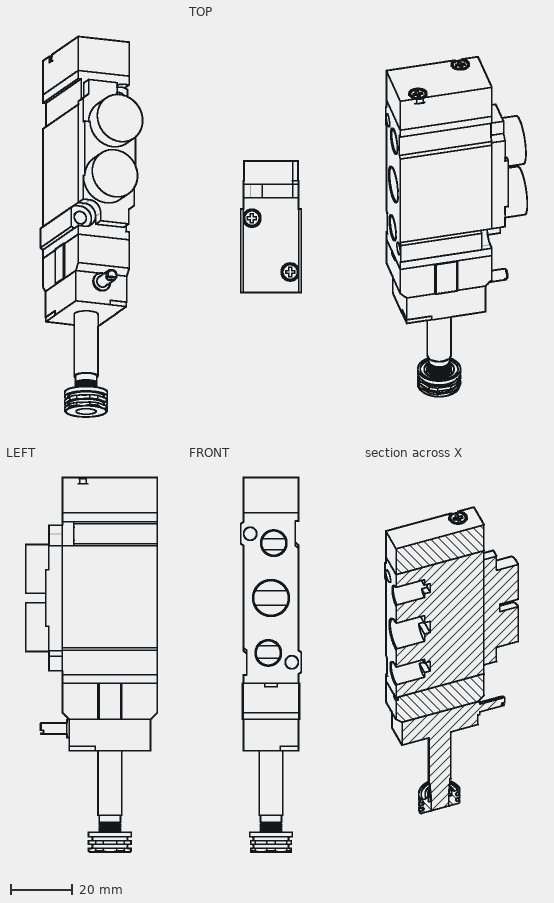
import cadquery as cq
import math


WIDTH = 18.0
HALF_WIDTH = WIDTH / 2
DEPTH = 31.0
BODY_HALF_LENGTH = 27.85
OVERALL_WIDTH = 19.8
OVERALL_HEIGHT = 122.5

MOUNT_X = 6.8
MOUNT_Z = 21.0
MOUNT_HOLE_DIAMETER = 4.2
MOUNT_RECESS_DIAMETER = 7.8
MOUNT_RECESS_DEPTH = 3.7

BUMP_BASE_HALF = 3.9
BUMP_TOP_HALF = 3.3
NOTCH_DEPTH = 1.05
NOTCH_OUTER_END = 25.1
NOTCH_INNER_END = 17.05
NOTCH_RUNOUT = 0.75

CENTER_PORT_DIAMETER = 11.4
SIDE_PORT_DIAMETER = 8.0
PORT_CHAMFER = 0.3
PORT_DEPTH = 10.0
PORT_SLOT_DEPTH = 2.0
SIDE_PORT_X = 0.9
SIDE_PORT_Z = 17.95
CENTER_SLOT_HEIGHT = 4.85
UPPER_SLOT_HEIGHT = 3.7
LOWER_SLOT_HEIGHT = 4.1
UPPER_SLOT_DROP = 0.4
LOWER_SLOT_RISE = 0.25

CAP_HEIGHT = 11.6
CAP_TOP = BODY_HALF_LENGTH + CAP_HEIGHT
SCREW_RECESS_DIAMETER = 5.9
SCREW_RECESS_DEPTH = 2.1
SCREW_HEAD_DIAMETER = 5.4
SCREW_HEAD_HEIGHT = 2.0
SCREW_HEAD_CHAMFER = 0.3
SCREW_X = 6.25
SCREW_FROM_MIDDLE = 8.8
CROSS_LENGTH = 3.0
CROSS_WIDTH = 0.9
CROSS_DEPTH = 1.2

PLATE_THICKNESS = 4.4
PLATE_BACK = DEPTH + PLATE_THICKNESS
PLATE_HALF_LENGTH = 23.8
PLATE_SHOULDER_X = 7.1
PLATE_SHOULDER_START = 18.95
PLATE_SHOULDER_END = 17.3
PAD_THICKNESS = 1.1
PAD_HALF_LENGTH = 9.2
FITTING_DIAMETER = 16.0
FITTING_X = 0.9
FITTING_Z = 9.5
FITTING_END = 43.0

PILOT_HEIGHT = 11.8
PILOT_TOP = -BODY_HALF_LENGTH
PILOT_BOTTOM = PILOT_TOP - PILOT_HEIGHT
PILOT_CHAMFER = 2.15
RIB_HEIGHT = 0.4
RIB_BASE_WIDTH = 7.8
RIB_TOP_WIDTH = 7.0
TAB_RECESS_WIDTH = 4.0
TAB_RECESS_HEIGHT = 1.1
TAB_RECESS_DEPTH = 0.8

BASE_HEIGHT = 10.3
BASE_BOTTOM = PILOT_BOTTOM - BASE_HEIGHT
BASE_FRONT = PILOT_CHAMFER
BASE_BACK = DEPTH - PILOT_CHAMFER
CORNER_PANEL_WIDTH = 5.9
CORNER_PANEL_LENGTH = 8.5
CORNER_PANEL_HEIGHT = 1.5
CORNER_PANEL_DEPTH = 0.1
STEM_Y = DEPTH / 2
TUBE_DIAMETER = 7.8
TUBE_BOTTOM = -71.0
NECK_DIAMETER = 7.0
NECK_BOTTOM = -73.3
THREAD_PITCH = 0.75
THREAD_CORE_DIAMETER = 6.5
PIN_DIAMETER = 3.7
PIN_Z = -42.65
PIN_END = 38.3
PIN_CHAMFER = 0.4
PIN_COLLAR_DIAMETER = 5.9
PIN_COLLAR_THICKNESS = 0.7
PIN_SLOT_WIDTH = 1.0
PIN_SLOT_DEPTH = 1.1
PIN_SLOT_DROP = 1.1

NUT_TOP = -76.5
NUT_BOTTOM = CAP_TOP - OVERALL_HEIGHT
NUT_DIAMETER = 14.0
NUT_GROOVE_DIAMETER = 11.4
NUT_GROOVE_HEIGHT = 1.25
NUT_GROOVE_ROUNDING = 0.3
NUT_TOP_FLANGE_HEIGHT = 1.55
NUT_COUNTERBORE_DIAMETER = 8.0
NUT_COUNTERBORE_DEPTH = 2.0
NUT_FACE_GROOVE_INNER_DIAMETER = 9.8
NUT_FACE_GROOVE_OUTER_DIAMETER = 12.4
NUT_FACE_GROOVE_DEPTH = 0.3
NUT_BOTTOM_CHAMFER = 0.4
NUT_FLAT_COUNT = 6
NUT_FLAT_RADIUS = 6.65


def block(x_range, y_range, z_range):
    """Rectangular block between the given limits."""
    sizes = [high - low for low, high in (x_range, y_range, z_range)]
    corner = (x_range[0], y_range[0], z_range[0])
    return cq.Workplane("XY").box(*sizes, centered=False).translate(corner)


def y_cylinder(diameter, x, z, y_start, y_end):
    """Cylinder along +Y."""
    plane = cq.Plane(origin=(x, y_start, z), xDir=(1, 0, 0), normal=(0, 1, 0))
    return cq.Workplane(plane).circle(diameter / 2).extrude(y_end - y_start)


def y_prism(points, y_start, y_end):
    """Prism along +Y over an outline of (x, z) points."""
    outline = cq.Workplane("XZ", origin=(0, y_start, 0)).polyline(points).close()
    return outline.extrude(y_start - y_end)


def half_turn(shape):
    """The same shape turned by 180 degrees about the central port axis."""
    return shape.rotate((0, 0, 0), (0, 1, 0), 180)


def both_ends(shape):
    """The shape together with its half-turn copy."""
    return shape.union(half_turn(shape))


def side_bump():
    outer_x = OVERALL_WIDTH / 2
    points = [
        (0, MOUNT_Z + BUMP_BASE_HALF),
        (-HALF_WIDTH, MOUNT_Z + BUMP_BASE_HALF),
        (-outer_x, MOUNT_Z + BUMP_TOP_HALF),
        (-outer_x, MOUNT_Z - BUMP_TOP_HALF),
        (-HALF_WIDTH, MOUNT_Z - BUMP_BASE_HALF),
        (0, MOUNT_Z - BUMP_BASE_HALF),
    ]
    return y_prism(points, 0, DEPTH - MOUNT_RECESS_DEPTH)


def side_notch():
    floor_x = HALF_WIDTH - NOTCH_DEPTH
    points = [
        (HALF_WIDTH, NOTCH_OUTER_END),
        (floor_x, NOTCH_OUTER_END),
        (floor_x, NOTCH_INNER_END),
        (HALF_WIDTH, NOTCH_INNER_END - NOTCH_RUNOUT),
    ]
    return y_prism(points, 0, DEPTH)


def mount_recess(y_start, y_end):
    """Round recess about a mounting hole, open to the near side face."""
    radius = MOUNT_RECESS_DIAMETER / 2
    round_part = y_cylinder(MOUNT_RECESS_DIAMETER, -MOUNT_X, MOUNT_Z, y_start, y_end)
    side_opening = block(
        (-OVERALL_WIDTH, -MOUNT_X), (y_start, y_end), (MOUNT_Z - radius, MOUNT_Z + radius)
    )
    return round_part.union(side_opening)


def port(diameter, x, z, slot_height, slot_z):
    """Chamfered blind port with a slot across its floor."""
    bore = y_cylinder(diameter, x, z, 0, PORT_DEPTH)
    mouth_plane = cq.Plane(origin=(x, 0, z), xDir=(1, 0, 0), normal=(0, 1, 0))
    mouth_radius = diameter / 2 + PORT_CHAMFER
    mouth = cq.Workplane(mouth_plane).circle(mouth_radius).extrude(PORT_CHAMFER, taper=45)
    slot_end = PORT_DEPTH + PORT_SLOT_DEPTH
    band = block(
        (-HALF_WIDTH, HALF_WIDTH),
        (PORT_DEPTH, slot_end),
        (slot_z - slot_height / 2, slot_z + slot_height / 2),
    )
    slot = y_cylinder(diameter, x, z, PORT_DEPTH, slot_end).intersect(band)
    return bore.union(mouth).union(slot)


def make_valve_body():
    body = block(
        (-HALF_WIDTH, HALF_WIDTH), (0, DEPTH), (-BODY_HALF_LENGTH, BODY_HALF_LENGTH)
    )
    body = body.union(both_ends(side_bump()))
    body = body.cut(both_ends(side_notch()))
    mount_hole = y_cylinder(MOUNT_HOLE_DIAMETER, -MOUNT_X, MOUNT_Z, 0, DEPTH)
    body = body.cut(both_ends(mount_hole))
    body = body.cut(both_ends(mount_recess(DEPTH - MOUNT_RECESS_DEPTH, DEPTH)))
    body = body.cut(port(CENTER_PORT_DIAMETER, 0, 0, CENTER_SLOT_HEIGHT, 0))
    body = body.cut(
        port(
            SIDE_PORT_DIAMETER, SIDE_PORT_X, SIDE_PORT_Z,
            UPPER_SLOT_HEIGHT, SIDE_PORT_Z - UPPER_SLOT_DROP,
        )
    )
    body = body.cut(
        port(
            SIDE_PORT_DIAMETER, -SIDE_PORT_X, -SIDE_PORT_Z,
            LOWER_SLOT_HEIGHT, -SIDE_PORT_Z + LOWER_SLOT_RISE,
        )
    )
    return body


SCREW_PLACES = [
    (-SCREW_X, DEPTH / 2 + SCREW_FROM_MIDDLE),
    (SCREW_X, DEPTH / 2 - SCREW_FROM_MIDDLE),
]
SCREW_SEAT = CAP_TOP - SCREW_RECESS_DEPTH


def make_cap():
    cap = block((-HALF_WIDTH, HALF_WIDTH), (0, DEPTH), (BODY_HALF_LENGTH, CAP_TOP))
    recesses = (
        cq.Workplane("XY", origin=(0, 0, SCREW_SEAT))
        .pushPoints(SCREW_PLACES)
        .circle(SCREW_RECESS_DIAMETER / 2)
        .extrude(SCREW_RECESS_DEPTH)
    )
    return cap.cut(recesses)


def make_screw(x, y):
    """Screw head with a cross recess, standing on its seat in the cap."""
    head = (
        cq.Workplane("XY", origin=(x, y, SCREW_SEAT))
        .circle(SCREW_HEAD_DIAMETER / 2)
        .extrude(SCREW_HEAD_HEIGHT)
        .faces(">Z")
        .chamfer(SCREW_HEAD_CHAMFER)
    )
    cross = (
        cq.Workplane("XY", origin=(x, y, SCREW_SEAT + SCREW_HEAD_HEIGHT - CROSS_DEPTH))
        .rect(CROSS_LENGTH, CROSS_WIDTH)
        .extrude(CROSS_DEPTH)
    )
    cross = cross.union(cross.rotate((x, y, 0), (x, y, 1), 90))
    return head.cut(cross)


def plate_corner_cut():
    """Clearance around a mounting hole, open to the side and the end."""
    open_end = block(
        (-OVERALL_WIDTH, -MOUNT_X + MOUNT_RECESS_DIAMETER / 2),
        (DEPTH, PLATE_BACK),
        (MOUNT_Z, PLATE_HALF_LENGTH),
    )
    return mount_recess(DEPTH, PLATE_BACK).union(open_end)


def plate_shoulder_cut():
    """Narrowing of the plate end, with a sloped shoulder."""
    points = [
        (PLATE_SHOULDER_X, PLATE_HALF_LENGTH),
        (PLATE_SHOULDER_X, PLATE_SHOULDER_START),
        (HALF_WIDTH, PLATE_SHOULDER_END),
        (HALF_WIDTH, PLATE_HALF_LENGTH),
    ]
    return y_prism(points, DEPTH, PLATE_BACK)


def make_back_plate():
    plate = block(
        (-HALF_WIDTH, HALF_WIDTH), (DEPTH, PLATE_BACK), (-PLATE_HALF_LENGTH, PLATE_HALF_LENGTH)
    )
    plate = plate.cut(both_ends(plate_corner_cut()))
    plate = plate.cut(both_ends(plate_shoulder_cut()))
    pad = block(
        (-HALF_WIDTH, HALF_WIDTH),
        (PLATE_BACK, PLATE_BACK + PAD_THICKNESS),
        (-PAD_HALF_LENGTH, PAD_HALF_LENGTH),
    )
    fitting = y_cylinder(FITTING_DIAMETER, -FITTING_X, FITTING_Z, PLATE_BACK, FITTING_END)
    return plate.union(pad).union(both_ends(fitting))


def make_pilot_block():
    pilot = block((-HALF_WIDTH, HALF_WIDTH), (0, DEPTH), (PILOT_BOTTOM, PILOT_TOP))
    pilot = pilot.faces("<Z").edges("|X").chamfer(PILOT_CHAMFER)
    rib_x = HALF_WIDTH + RIB_HEIGHT
    rib_points = [
        (-HALF_WIDTH, STEM_Y - RIB_BASE_WIDTH / 2),
        (-rib_x, STEM_Y - RIB_TOP_WIDTH / 2),
        (-rib_x, STEM_Y + RIB_TOP_WIDTH / 2),
        (-HALF_WIDTH, STEM_Y + RIB_BASE_WIDTH / 2),
    ]
    rib = (
        cq.Workplane("XY", origin=(0, 0, PILOT_BOTTOM))
        .polyline(rib_points)
        .close()
        .extrude(PILOT_HEIGHT)
    )
    pilot = pilot.union(rib).union(rib.mirror("YZ"))
    tab_recess = block(
        (-TAB_RECESS_WIDTH / 2, TAB_RECESS_WIDTH / 2),
        (0, TAB_RECESS_DEPTH),
        (PILOT_TOP - TAB_RECESS_HEIGHT, PILOT_TOP),
    )
    return pilot.cut(tab_recess)


def stem():
    """Tube, neck, ring-grooved thread and plain core that enters the nut."""
    tube_radius = TUBE_DIAMETER / 2
    crest = NECK_DIAMETER / 2
    root = THREAD_CORE_DIAMETER / 2
    profile = [
        (0, BASE_BOTTOM),
        (tube_radius, BASE_BOTTOM),
        (tube_radius, TUBE_BOTTOM),
        (crest, TUBE_BOTTOM),
        (crest, NECK_BOTTOM),
    ]
    turns = math.floor((NECK_BOTTOM - NUT_TOP) / THREAD_PITCH)
    for turn in range(turns):
        turn_top = NECK_BOTTOM - turn * THREAD_PITCH
        profile.append((root, turn_top - THREAD_PITCH / 2))
        profile.append((crest, turn_top - THREAD_PITCH))
    thread_end = NECK_BOTTOM - turns * THREAD_PITCH
    profile += [(root, thread_end), (root, NUT_BOTTOM), (0, NUT_BOTTOM)]
    outline = cq.Workplane("XZ").polyline(profile).close()
    return outline.revolve(360, (0, 0), (0, 1)).translate((0, STEM_Y, 0))


def side_pin():
    pin = y_cylinder(PIN_DIAMETER, 0, PIN_Z, BASE_BACK, PIN_END)
    pin = pin.faces(">Y").chamfer(PIN_CHAMFER)
    slot_z = PIN_Z - PIN_SLOT_DROP
    slot = block(
        (-PIN_DIAMETER / 2, PIN_DIAMETER / 2),
        (PIN_END - PIN_SLOT_DEPTH, PIN_END),
        (slot_z - PIN_SLOT_WIDTH / 2, slot_z + PIN_SLOT_WIDTH / 2),
    )
    collar_end = BASE_BACK + PIN_COLLAR_THICKNESS
    collar = y_cylinder(PIN_COLLAR_DIAMETER, 0, PIN_Z, BASE_BACK, collar_end)
    return pin.cut(slot).union(collar)


def corner_panel():
    """Shallow recess wrapped around the lower front corner of the base."""
    z_range = (BASE_BOTTOM, BASE_BOTTOM + CORNER_PANEL_HEIGHT)
    front_x = (HALF_WIDTH - CORNER_PANEL_WIDTH, HALF_WIDTH)
    front = block(front_x, (BASE_FRONT, BASE_FRONT + CORNER_PANEL_DEPTH), z_range)
    side_y = (BASE_FRONT, BASE_FRONT + CORNER_PANEL_LENGTH)
    side = block((HALF_WIDTH - CORNER_PANEL_DEPTH, HALF_WIDTH), side_y, z_range)
    return front.union(side)


def make_solenoid_base():
    base = block(
        (-HALF_WIDTH, HALF_WIDTH), (BASE_FRONT, BASE_BACK), (BASE_BOTTOM, PILOT_BOTTOM)
    )
    front_panel = corner_panel()
    back_panel = front_panel.rotate((0, STEM_Y, 0), (0, STEM_Y, 1), 180)
    base = base.cut(front_panel).cut(back_panel)
    return base.union(stem()).union(side_pin())


def make_nut():
    """Flanged nut with two round-bottomed grooves and flats on its lower flanges."""
    rim = NUT_DIAMETER / 2
    waist = NUT_GROOVE_DIAMETER / 2
    bore = THREAD_CORE_DIAMETER / 2
    lower_height = NUT_TOP - NUT_BOTTOM - NUT_TOP_FLANGE_HEIGHT
    lower_flange_height = lower_height / 2 - NUT_GROOVE_HEIGHT
    groove_tops = [NUT_TOP - NUT_TOP_FLANGE_HEIGHT]
    groove_tops.append(groove_tops[0] - NUT_GROOVE_HEIGHT - lower_flange_height)
    face_groove_floor = NUT_TOP - NUT_FACE_GROOVE_DEPTH
    lip = waist + NUT_GROOVE_ROUNDING

    outline = (
        cq.Workplane("XZ")
        .moveTo(bore, NUT_BOTTOM)
        .lineTo(bore, NUT_TOP - NUT_COUNTERBORE_DEPTH)
        .lineTo(NUT_COUNTERBORE_DIAMETER / 2, NUT_TOP - NUT_COUNTERBORE_DEPTH)
        .lineTo(NUT_COUNTERBORE_DIAMETER / 2, NUT_TOP)
        .lineTo(NUT_FACE_GROOVE_INNER_DIAMETER / 2, NUT_TOP)
        .lineTo(NUT_FACE_GROOVE_INNER_DIAMETER / 2, face_groove_floor)
        .lineTo(NUT_FACE_GROOVE_OUTER_DIAMETER / 2, face_groove_floor)
        .lineTo(NUT_FACE_GROOVE_OUTER_DIAMETER / 2, NUT_TOP)
        .lineTo(rim, NUT_TOP)
    )
    for groove_top in groove_tops:
        groove_bottom = groove_top - NUT_GROOVE_HEIGHT
        outline = (
            outline.lineTo(rim, groove_top)
            .lineTo(lip, groove_top)
            .threePointArc((waist, (groove_top + groove_bottom) / 2), (lip, groove_bottom))
            .lineTo(rim, groove_bottom)
        )
    outline = outline.lineTo(rim, NUT_BOTTOM + NUT_BOTTOM_CHAMFER)
    outline = outline.lineTo(rim - NUT_BOTTOM_CHAMFER, NUT_BOTTOM).close()
    nut = outline.revolve(360, (0, 0), (0, 1))

    for index in range(NUT_FLAT_COUNT):
        flat = block((NUT_FLAT_RADIUS, rim), (-rim, rim), (NUT_BOTTOM, groove_tops[0]))
        nut = nut.cut(flat.rotate((0, 0, 0), (0, 0, 1), index * 360 / NUT_FLAT_COUNT))
    return nut.translate((0, STEM_Y, 0))


valve_body = make_valve_body()
cap = make_cap()
screws = [make_screw(x, y) for x, y in SCREW_PLACES]
back_plate = make_back_plate()
pilot_block = make_pilot_block()
solenoid_base = make_solenoid_base()
nut = make_nut()

result = cq.Compound.makeCompound(
    [
        valve_body.val(),
        cap.val(),
        *[screw.val() for screw in screws],
        back_plate.val(),
        pilot_block.val(),
        solenoid_base.val(),
        nut.val(),
    ]
)